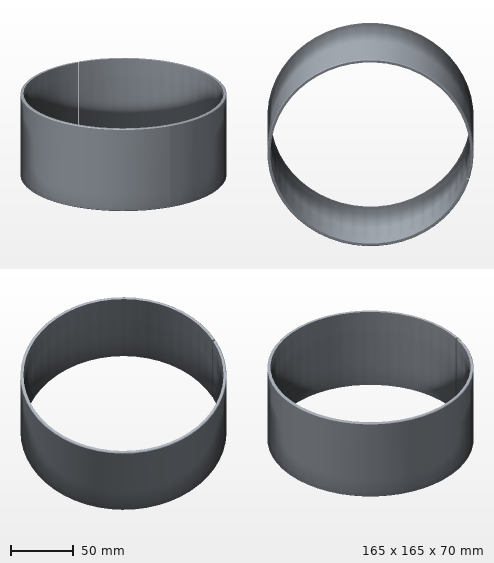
import cadquery as cq

outer_diameter = 165.0
wall = 2.5
height = 70.0
slit_width = 1.3
edge_chamfer = 0.5

outer_radius = outer_diameter / 2
inner_radius = outer_radius - wall


def sleeve():
    """Ring standing on Z = 0 with its two outer rims chamfered."""
    body = cq.Workplane("XY").circle(outer_radius).extrude(height)
    body = body.faces("<Z or >Z").edges().chamfer(edge_chamfer)
    bore = cq.Workplane("XY").circle(inner_radius).extrude(height)
    return body.cut(bore)


def slit():
    """Thin block parting the wall on the -X side, from the Y = 0 plane toward +Y."""
    block_length = 4 * wall
    block = cq.Workplane("XY").box(block_length, slit_width, height, centered=(True, False, False))
    return block.translate((-outer_radius, 0, 0))


result = sleeve().cut(slit())